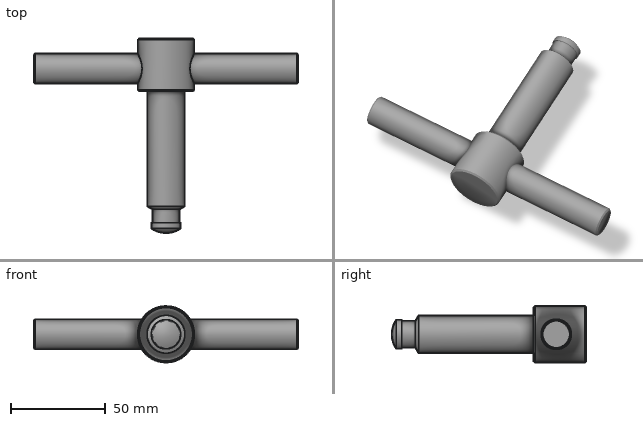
import cadquery as cq

total_length = 103.0
head_diameter = 30.0
head_length = 28.0
head_chamfer = 0.8

shank_diameter = 20.0
shank_end = 88.8
shoulder_length = 1.7

neck_diameter = 14.4
collar_diameter = 15.5
collar_length = 3.0
dome_height = 2.5

handle_length = 140.0
handle_diameter = 16.0
handle_chamfer = 0.8
handle_offset = 16.0

neck_start = shank_end + shoulder_length
collar_end = total_length - dome_height
collar_start = collar_end - collar_length

collar_radius = collar_diameter / 2
dome_radius = (collar_radius**2 + dome_height**2) / (2 * dome_height)
dome_mid_radius = collar_radius / 2
dome_mid_station = total_length - dome_radius + (dome_radius**2 - dome_mid_radius**2) ** 0.5


def profile_point(radius, station):
    """Point of the turned profile, with the handle axis at Y = 0 and the tip toward -Y."""
    return (radius, handle_offset - station)


def make_head():
    """Cylindrical head with both rims chamfered."""
    return (
        cq.Workplane("XZ", origin=(0, handle_offset, 0))
        .circle(head_diameter / 2)
        .extrude(head_length)
        .edges("%CIRCLE")
        .chamfer(head_chamfer)
    )


def make_spindle():
    """Shank, tapered shoulder, neck, collar and domed tip, revolved about Y."""
    return (
        cq.Workplane("XY")
        .moveTo(*profile_point(0, handle_offset))
        .lineTo(*profile_point(shank_diameter / 2, handle_offset))
        .lineTo(*profile_point(shank_diameter / 2, shank_end))
        .lineTo(*profile_point(neck_diameter / 2, neck_start))
        .lineTo(*profile_point(neck_diameter / 2, collar_start))
        .lineTo(*profile_point(collar_radius, collar_start))
        .lineTo(*profile_point(collar_radius, collar_end))
        .threePointArc(
            profile_point(dome_mid_radius, dome_mid_station),
            profile_point(0, total_length),
        )
        .close()
        .revolve(360, (0, 0, 0), (0, 1, 0))
    )


def make_handle():
    """Cross handle through the head, chamfered at both ends."""
    return (
        cq.Workplane("YZ")
        .circle(handle_diameter / 2)
        .extrude(handle_length / 2, both=True)
        .edges("<X or >X")
        .chamfer(handle_chamfer)
    )


result = make_head().union(make_spindle()).union(make_handle())